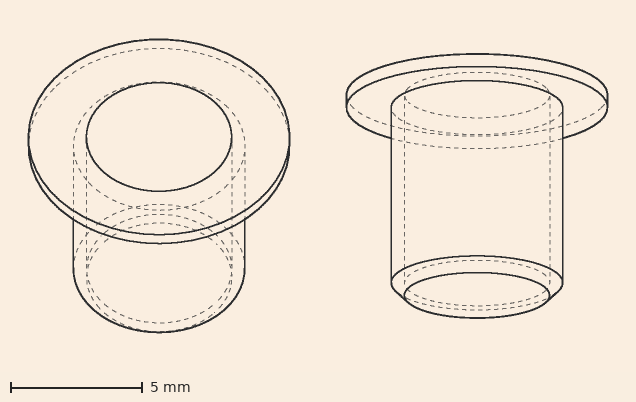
import cadquery as cq

flange_diameter = 9.9
barrel_diameter = 6.5
bore_diameter = 5.5
total_height = 8.0
flange_thickness = 0.5

wall_thickness = (barrel_diameter - bore_diameter) / 2
floor_thickness = wall_thickness
chamfer_size = wall_thickness

barrel_height = total_height - flange_thickness
bore_depth = total_height - floor_thickness

barrel = (
    cq.Workplane("XY")
    .circle(barrel_diameter / 2)
    .extrude(barrel_height)
    .faces("<Z")
    .chamfer(chamfer_size)
)

flange = (
    cq.Workplane("XY")
    .workplane(offset=barrel_height)
    .circle(flange_diameter / 2)
    .extrude(flange_thickness)
)

bore = (
    cq.Workplane("XY")
    .workplane(offset=floor_thickness)
    .circle(bore_diameter / 2)
    .extrude(bore_depth)
)

result = barrel.union(flange).cut(bore)